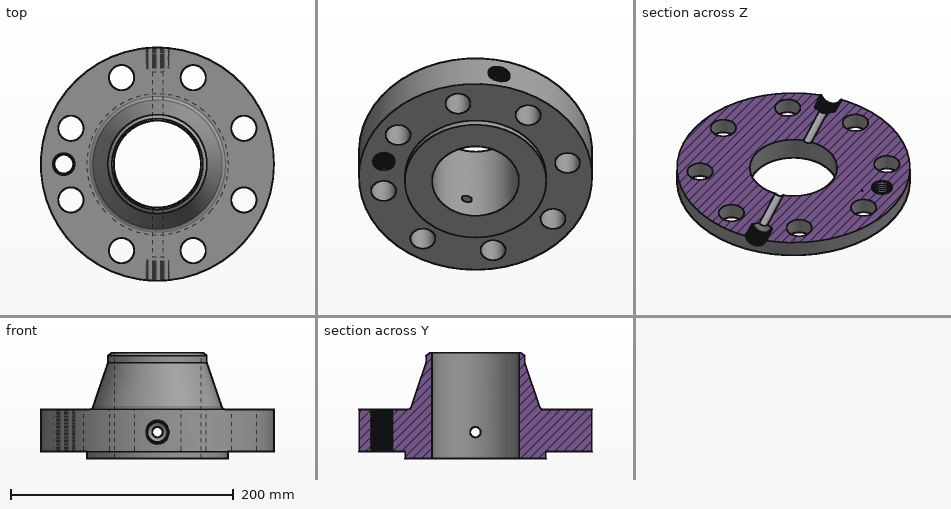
import cadquery as cq
import math

flange_radius = 104.8
flange_thickness = 38.1
raised_face_radius = 63.5
raised_face_height = 6.3
flange_top = raised_face_height + flange_thickness

total_height = 95.3
bore_radius = 39.0
hub_base_radius = 58.7
hub_fillet_radius = 3.1
neck_radius = 44.5
neck_straight_height = 6.3
lip_radius = 40.9
bevel_angle = 37.5
bevel_height = (neck_radius - lip_radius) * math.tan(math.radians(bevel_angle))
bevel_start = total_height - bevel_height
neck_start = bevel_start - neck_straight_height

bolt_count = 8
bolt_circle_radius = 84.0
bolt_hole_diameter = 22.5

jack_minor_radius = 8.4
jack_major_radius = 9.8
jack_pitch = 2.5

tap_height = 23.9
tap_mouth_radius = 9.5
tap_thread_depth = 1.3
tap_pitch = 1.82
tap_turns = 11
tap_taper = 1 / 32
tap_drill_radius = 4.6
drill_point_angle = 118.0

overcut = 2.0


def thread_points(mouth_radius, thread_depth, pitch, turns, taper):
    """Zigzag of (radius, depth) points for ring-shaped thread grooves."""
    points = [(mouth_radius, 0.0)]
    for turn in range(turns):
        groove_depth = (turn + 0.5) * pitch
        crest_depth = (turn + 1) * pitch
        points.append((mouth_radius + thread_depth - taper * groove_depth, groove_depth))
        points.append((mouth_radius - taper * crest_depth, crest_depth))
    return points


def revolve_cutter(points):
    """Solid of revolution about Z from (radius, depth) points, running down from Z = 0."""
    outline = [(0.0, 0.0)]
    outline += [(radius, -depth) for radius, depth in points]
    outline.append((0.0, -points[-1][1]))
    return cq.Workplane("XZ").polyline(outline).close().revolve(360, (0, 0), (0, 1))


def flange_body():
    """Turned flange, hub and neck around the bore, with a fillet at the hub root."""
    profile = (
        cq.Workplane("XZ")
        .moveTo(bore_radius, 0)
        .lineTo(raised_face_radius, 0)
        .lineTo(raised_face_radius, raised_face_height)
        .lineTo(flange_radius, raised_face_height)
        .lineTo(flange_radius, flange_top)
        .lineTo(hub_base_radius, flange_top)
        .lineTo(neck_radius, neck_start)
        .lineTo(neck_radius, bevel_start)
        .lineTo(lip_radius, total_height)
        .lineTo(bore_radius, total_height)
        .close()
    )
    body = profile.revolve(360, (0, 0), (0, 1))
    flange_top_ring = body.faces("+Z").faces("<Z")
    hub_root = flange_top_ring.edges(cq.selectors.RadiusNthSelector(0))
    return hub_root.fillet(hub_fillet_radius)


def bolt_holes():
    half_step = 180 / bolt_count
    return (
        cq.Workplane("XY")
        .workplane(offset=raised_face_height - overcut)
        .polarArray(bolt_circle_radius, half_step, 360, bolt_count)
        .circle(bolt_hole_diameter / 2)
        .extrude(flange_thickness + 2 * overcut)
    )


def jack_hole():
    turns = math.ceil(flange_thickness / jack_pitch) + 1
    thread_depth = jack_major_radius - jack_minor_radius
    points = thread_points(jack_minor_radius, thread_depth, jack_pitch, turns, 0)
    start_height = flange_top + jack_pitch / 2
    return revolve_cutter(points).translate((-bolt_circle_radius, 0, start_height))


def pressure_tap():
    """Tapered thread, drill point and pilot drilling, opening on the -Y side."""
    points = thread_points(tap_mouth_radius, tap_thread_depth, tap_pitch, tap_turns, tap_taper)
    end_radius, end_depth = points[-1]
    point_length = (end_radius - tap_drill_radius) / math.tan(math.radians(drill_point_angle / 2))
    points.append((tap_drill_radius, end_depth + point_length))
    points.append((tap_drill_radius, flange_radius - bore_radius + overcut))
    cutter = revolve_cutter(points).rotate((0, 0, 0), (1, 0, 0), 90)
    return cutter.translate((0, -flange_radius - tap_pitch / 2, tap_height))


result = flange_body().cut(bolt_holes()).cut(jack_hole())
for side_angle in (0, 180):
    result = result.cut(pressure_tap().rotate((0, 0, 0), (0, 0, 1), side_angle))